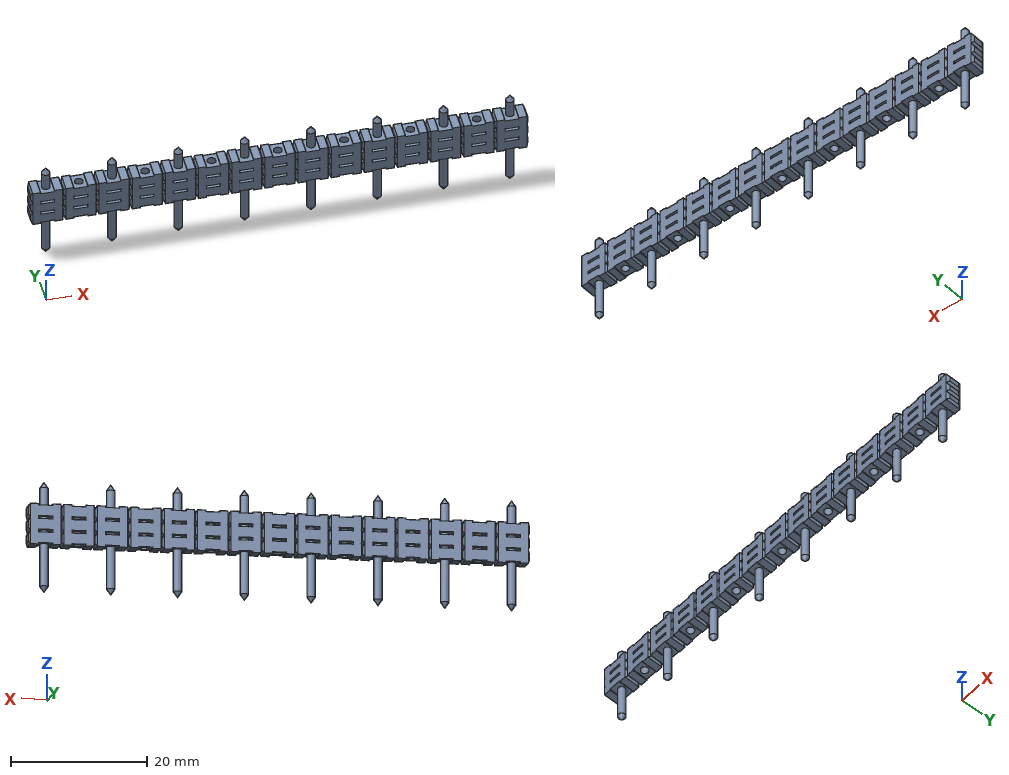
import cadquery as cq

strip_length = 75.0
strip_depth = 2.8
strip_height = 6.1
cell_columns = 15
cell_layers = 3
cell_pitch = strip_length / cell_columns
cell_height = strip_height / cell_layers

end_taper_length = 0.25
end_taper_inset = 0.5
recess_width = 2.1
recess_depth = 0.2

pin_diameter = 1.3
pin_length = 16.5
pin_above_strip = 3.45
pin_tip_height = 0.9
pin_column_step = 2

pin_radius = pin_diameter / 2
pin_top = strip_height / 2 + pin_above_strip
pin_bottom = pin_top - pin_length


def column_x(column):
    """X of the centre of a column, with the row centred on the origin."""
    return (column - (cell_columns - 1) / 2) * cell_pitch


def layer_z(layer):
    """Z of the centre of a layer, with the stack centred on the origin."""
    return (layer - (cell_layers - 1) / 2) * cell_height


def make_cell():
    """One block with tapered ends, shallow recesses above and below, and a vertical bore."""
    straight_length = cell_pitch - 2 * end_taper_length
    block = cq.Workplane("XY").box(straight_length, strip_depth, cell_height)
    tapered_end = (
        cq.Workplane("YZ", origin=(straight_length / 2, 0, 0))
        .rect(strip_depth, cell_height)
        .workplane(offset=end_taper_length)
        .rect(strip_depth - 2 * end_taper_inset, cell_height - 2 * end_taper_inset)
        .loft(ruled=True)
    )
    block = block.union(tapered_end).union(tapered_end.mirror("YZ"))
    recess = cq.Workplane("XY").box(recess_width, strip_depth, 2 * recess_depth)
    for side in (-1, 1):
        block = block.cut(recess.translate((0, 0, side * cell_height / 2)))
    bore = cq.Workplane("XY").circle(pin_radius).extrude(cell_height, both=True)
    return block.cut(bore)


def make_pin():
    """Round pin with a cone at each end."""
    profile = [
        (0, pin_bottom),
        (pin_radius, pin_bottom + pin_tip_height),
        (pin_radius, pin_top - pin_tip_height),
        (0, pin_top),
    ]
    return cq.Workplane("XZ").polyline(profile).close().revolve(360, (0, 0, 0), (0, 1, 0))


cell = make_cell().val()
pin = make_pin().val()
bodies = []
for column in range(cell_columns):
    for layer in range(cell_layers):
        bodies.append(cell.translate(cq.Vector(column_x(column), 0, layer_z(layer))))
for column in range(0, cell_columns, pin_column_step):
    bodies.append(pin.translate(cq.Vector(column_x(column), 0, 0)))

result = cq.Workplane(obj=bodies[0].fuse(*bodies[1:]).clean())